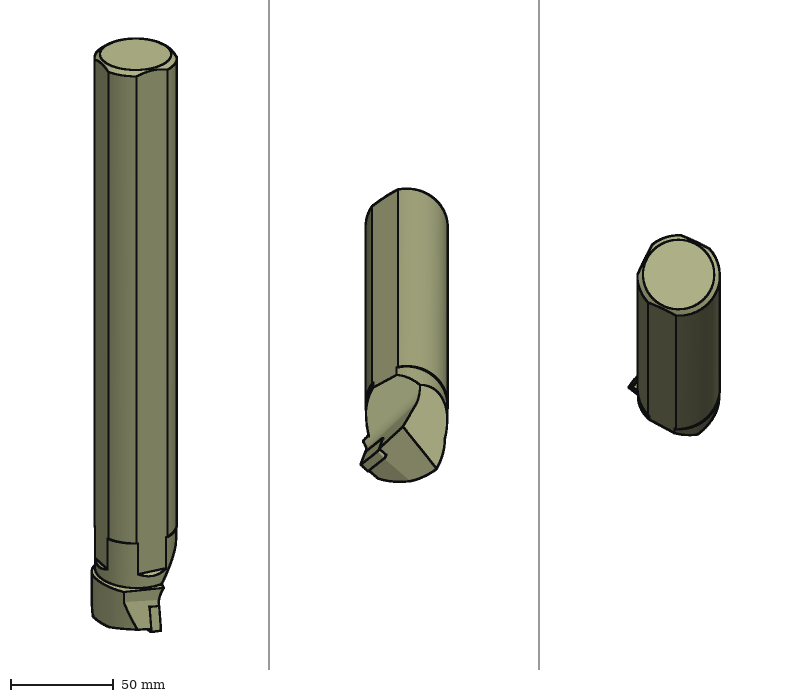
import cadquery as cq
import math


total_length = 304.3
shank_radius = 20.0
shank_bottom = 48.7
side_flat = 18.5
right_flat = 18.3
flat_bottom = 32.0
flat_ledge_angle = 50.0
chamfer_width = 2.7
chamfer_height = 2.0

neck_radius = 19.8
head_top = 25.3
head_ledge_tilt = 2.5
head_front = 22.2
head_left_radius = 14.0
head_right_radius = 31.0
bevel_top = 32.3
bevel_angle = 31.0

rake_turn = -10.0
rake_offset = 5.32
rake_top = 16.7
gullet_curve = (6.5, 21.3)
gullet_slope_start = (8.8, 25.5)
gullet_slope_angle = 33.0

insert_side = 12.8
insert_thickness = 5.0
insert_corner_radius = 1.0
insert_lead = 15.0
tip_reach = 26.2

flank_pivot = (22.2, -0.5)
flank_turn = -12.0
heel_turn = -3.0
flank_upper = 18.0
flank_tip = (26.2, 4.5)
heel = (15.8, 1.8)

beyond = 91.3
envelope_top = total_length + beyond

insert_rounded_half = insert_side / 2 - insert_corner_radius
lead = math.radians(insert_lead)
insert_reach = insert_rounded_half * (math.cos(lead) + math.sin(lead)) + insert_corner_radius
insert_center = (tip_reach - insert_reach, insert_reach)


def turned_on_rake(shape):
    """Turn a shape about the bar axis into the direction of the rake face."""
    return shape.rotate((0, 0, 0), (0, 0, 1), rake_turn)


def insert_plate(start, thickness):
    """Rounded square plate that starts at distance start from the axis and runs toward -Y."""
    plate = cq.Workplane("XZ", origin=(0, start, 0)).center(*insert_center)
    plate = plate.transformed(rotate=(0, 0, insert_lead)).rect(insert_side, insert_side)
    return turned_on_rake(plate.extrude(thickness).edges("|Y").fillet(insert_corner_radius))


def flat_cutter(distance, direction):
    """Cutter for a flat whose outward normal is at the angle direction from +X."""
    ledge_drop = (beyond - distance) * math.tan(math.radians(flat_ledge_angle))
    profile = [
        (distance, flat_bottom),
        (beyond, flat_bottom - ledge_drop),
        (beyond, total_length),
        (distance, total_length),
    ]
    cutter = cq.Workplane("XZ").polyline(profile).close().extrude(beyond, both=True)
    return cutter.rotate((0, 0, 0), (0, 0, 1), direction)


def round_bar():
    """Chamfered shank on a slightly thinner neck."""
    profile = [
        (0, 0),
        (neck_radius, 0),
        (neck_radius, shank_bottom),
        (shank_radius, shank_bottom),
        (shank_radius, total_length - chamfer_height),
        (shank_radius - chamfer_width, total_length),
        (0, total_length),
    ]
    return cq.Workplane("XZ").polyline(profile).close().revolve(360, (0, 0), (0, 1))


def arc_point(radius, angle):
    """Point of a head arc, at an angle from the foremost point toward +X."""
    turn = math.radians(angle)
    return (radius * math.sin(turn), radius - head_front - radius * math.cos(turn))


def head_block():
    """Wider head made of two arcs that are tangent at X = 0, with a tilted ledge on top."""
    outline = (
        cq.Workplane("XY")
        .moveTo(*arc_point(head_left_radius, -90))
        .threePointArc(arc_point(head_left_radius, -45), arc_point(head_left_radius, 0))
        .threePointArc(arc_point(head_right_radius, 45), arc_point(head_right_radius, 90))
        .close()
    )
    above_ledge = cq.Workplane("XY").workplane(offset=head_top).circle(beyond).extrude(beyond)
    above_ledge = above_ledge.rotate((0, 0, head_top), (0, 1, head_top), head_ledge_tilt)
    return outline.extrude(2 * head_top).cut(above_ledge)


def head_envelope():
    """Region bounded by the flanks and the underside of the head."""
    profile = [
        (-beyond, heel[1]),
        heel,
        flank_tip,
        (flank_pivot[0], flank_upper),
        (flank_pivot[0], envelope_top),
        (-beyond, envelope_top),
    ]
    region = cq.Workplane("XZ").polyline(profile).close().extrude(beyond, both=True)
    pivot_x, pivot_y = flank_pivot
    region = region.rotate((0, pivot_y, heel[1]), (1, pivot_y, heel[1]), heel_turn)
    return region.rotate((pivot_x, pivot_y, 0), (pivot_x, pivot_y, 1), flank_turn)


def back_bevel():
    """Wedge removed from the -X side of the lower end."""
    bevel_run = (bevel_top + beyond) * math.tan(math.radians(bevel_angle))
    profile = [
        (-shank_radius, bevel_top),
        (bevel_run - shank_radius, -beyond),
        (-beyond, -beyond),
        (-beyond, bevel_top),
    ]
    return cq.Workplane("XZ").polyline(profile).close().extrude(beyond, both=True)


def chip_gullet():
    """Clearance above the rake face: vertical face, rounded floor and sloping run-out."""
    start_y, start_z = gullet_slope_start
    slope_height = (beyond - start_y) / math.tan(math.radians(gullet_slope_angle))
    outline = (
        cq.Workplane("YZ")
        .moveTo(rake_offset, -beyond)
        .lineTo(rake_offset, rake_top)
        .threePointArc(gullet_curve, gullet_slope_start)
        .lineTo(beyond, start_z + slope_height)
        .lineTo(beyond, -beyond)
        .close()
    )
    return turned_on_rake(outline.extrude(beyond, both=True))


def make_holder():
    bar = round_bar()
    for distance, direction in [(side_flat, -90), (right_flat, 0), (side_flat, 90)]:
        bar = bar.cut(flat_cutter(distance, direction))
    holder = bar.union(head_block()).intersect(head_envelope())
    pocket = insert_plate(beyond, beyond - rake_offset + insert_thickness)
    return holder.cut(back_bevel()).cut(chip_gullet()).cut(pocket)


holder = make_holder()
cutting_insert = insert_plate(rake_offset, insert_thickness)

result = cq.Compound.makeCompound([holder.solids().val(), cutting_insert.solids().val()])